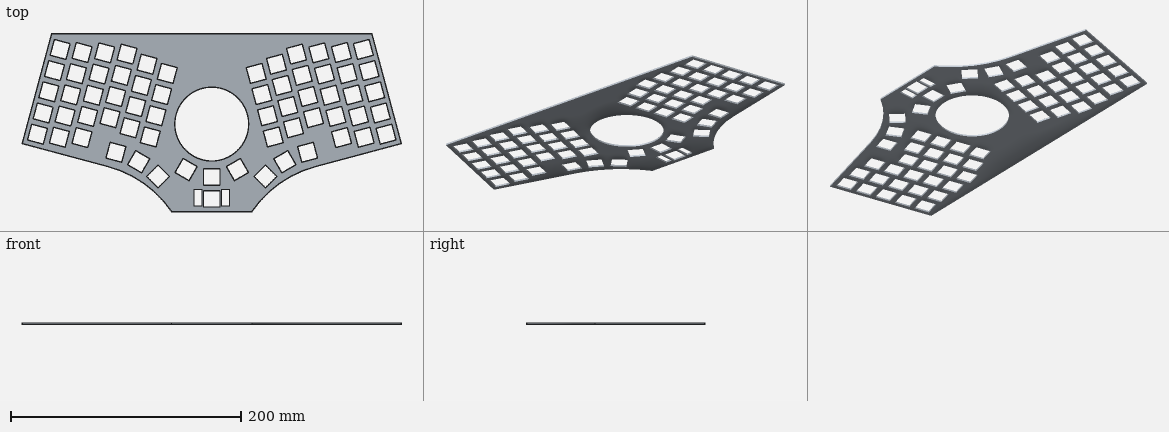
import cadquery as cq
import math

WIDTH = 329.6
DEPTH = 154.78
THICKNESS = 1.5
SPLAY = 15.0
FRONT_EDGE_LENGTH = 69.6
WING_CORNER_Y = 59.2
WING_EDGE_LENGTH = 77.5

OPENING_DIAMETER = 64.0
OPENING_Y = 76.2

KEY_SIZE = 14.0
KEY_PITCH = 19.05

OUTER_COLUMN_U = 163.7
TOP_ROW_V = 102.15
COLUMNS = [(0.0, 5), (2.35, 5), (7.14, 5), (11.1, 4), (7.14, 4), (4.0, 4)]

THUMB_KEYS = [
    (83.25, 51.7, SPLAY),
    (63.5, 43.5, 2 * SPLAY),
    (46.65, 30.7, 3 * SPLAY),
    (22.3, 36.7, 2 * SPLAY),
]

CENTRE_KEY_Y = 30.2
STABILIZED_KEY_Y = 11.2
STABILIZER_OFFSET = 11.94
STABILIZER_Y = 12.2
STABILIZER_WIDTH = 6.65
STABILIZER_LENGTH = 14.0


def turned(u, v):
    """Point (u, v) of the right hand's tilted axes in plate coordinates."""
    angle = math.radians(SPLAY)
    x = u * math.cos(angle) - v * math.sin(angle)
    y = u * math.sin(angle) + v * math.cos(angle)
    return x, y


def mirrored(point):
    """Point reflected across the YZ plane."""
    return -point[0], point[1]


def make_plate():
    """Right half outline with a concave tangent sweep, mirrored to the full plate."""
    wing_x = WIDTH / 2
    angle = math.radians(SPLAY)
    top_x = wing_x - (DEPTH - WING_CORNER_Y) * math.tan(angle)
    sweep_start = (
        wing_x - WING_EDGE_LENGTH * math.cos(angle),
        WING_CORNER_Y - WING_EDGE_LENGTH * math.sin(angle),
    )
    half = (
        cq.Workplane("XY")
        .moveTo(0, DEPTH)
        .lineTo(top_x, DEPTH)
        .lineTo(wing_x, WING_CORNER_Y)
        .lineTo(*sweep_start)
        .tangentArcPoint((FRONT_EDGE_LENGTH / 2, 0), relative=False)
        .lineTo(0, 0)
        .close()
        .extrude(THICKNESS)
    )
    return half.union(half.mirror("YZ")).clean()


def window(point, width, length, rotation=0.0):
    """Rectangular cutter through the plate, turned about its own centre."""
    cutter = cq.Workplane("XY").rect(width, length).extrude(THICKNESS)
    cutter = cutter.rotate((0, 0, 0), (0, 0, 1), rotation)
    return cutter.translate((point[0], point[1], 0)).val()


def hand_keys():
    """Position and rotation of every right hand key."""
    keys = []
    for column, (shift, count) in enumerate(COLUMNS):
        u = OUTER_COLUMN_U - column * KEY_PITCH
        for row in range(count):
            v = TOP_ROW_V + shift - row * KEY_PITCH
            keys.append((turned(u, v), SPLAY))
    for x, y, rotation in THUMB_KEYS:
        keys.append(((x, y), rotation))
    return keys


def make_windows():
    """All rectangular cutters: both hands, centre keys and stabilizer slots."""
    windows = []
    for point, rotation in hand_keys():
        windows.append(window(point, KEY_SIZE, KEY_SIZE, rotation))
        windows.append(window(mirrored(point), KEY_SIZE, KEY_SIZE, -rotation))
    for y in (CENTRE_KEY_Y, STABILIZED_KEY_Y):
        windows.append(window((0, y), KEY_SIZE, KEY_SIZE))
    for x in (-STABILIZER_OFFSET, STABILIZER_OFFSET):
        windows.append(window((x, STABILIZER_Y), STABILIZER_WIDTH, STABILIZER_LENGTH))
    return cq.Compound.makeCompound(windows)


def make_opening():
    """Round cutter for the central opening."""
    return cq.Workplane("XY").center(0, OPENING_Y).circle(OPENING_DIAMETER / 2).extrude(THICKNESS)


result = make_plate().cut(cq.Workplane(make_windows())).cut(make_opening())